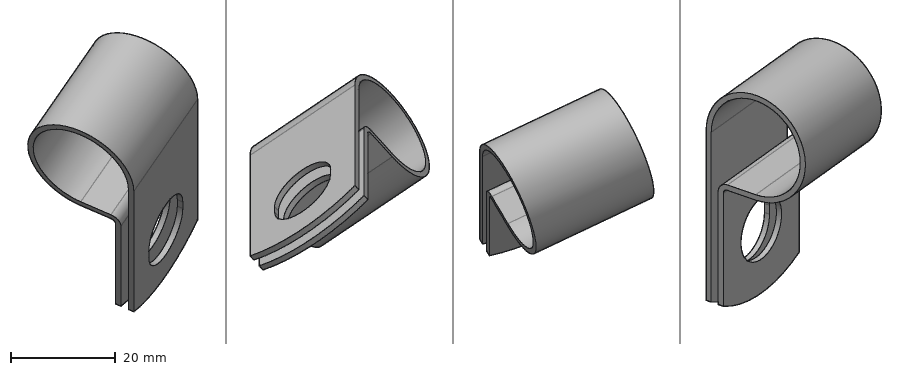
import cadquery as cq
import math

height = 52.0
width = 25.4
loop_diameter = 23.1
thickness = 1.2
leg_gap = 1.6
bend_inner_radius = 1.0
hole_diameter = 13.5
hole_height = 14.25
slot_length = 15.5
end_arc_rise = 3.05

outer_radius = loop_diameter / 2
inner_radius = outer_radius - thickness
bottom = outer_radius - height
bend_outer_radius = bend_inner_radius + thickness
short_leg_outer = inner_radius - leg_gap
short_leg_inner = short_leg_outer - thickness
gap_middle = short_leg_outer + leg_gap / 2
bend_x = short_leg_outer - bend_outer_radius
bend_z = -inner_radius - bend_outer_radius
half_width = width / 2
diagonal = math.sqrt(0.5)


def make_strap():
    """Bent strip: long leg, three-quarter loop, then a bend into the short leg."""
    profile = (
        cq.Workplane("XZ")
        .moveTo(outer_radius, bottom)
        .lineTo(outer_radius, 0)
        .threePointArc((-outer_radius * diagonal, outer_radius * diagonal), (0, -outer_radius))
        .lineTo(bend_x, -outer_radius)
        .threePointArc(
            (bend_x + bend_inner_radius * diagonal, bend_z + bend_inner_radius * diagonal),
            (short_leg_inner, bend_z),
        )
        .lineTo(short_leg_inner, bottom)
        .lineTo(short_leg_outer, bottom)
        .lineTo(short_leg_outer, bend_z)
        .threePointArc(
            (bend_x + bend_outer_radius * diagonal, bend_z + bend_outer_radius * diagonal),
            (bend_x, -inner_radius),
        )
        .lineTo(0, -inner_radius)
        .threePointArc((-inner_radius * diagonal, inner_radius * diagonal), (inner_radius, 0))
        .lineTo(inner_radius, bottom)
        .close()
    )
    return profile.extrude(half_width, both=True)


def make_side_outline():
    """Rectangle with an arched lower end, extruded across the whole strap."""
    corner_z = bottom + end_arc_rise
    return (
        cq.Workplane("YZ")
        .moveTo(-half_width, outer_radius)
        .lineTo(-half_width, corner_z)
        .threePointArc((0, bottom), (half_width, corner_z))
        .lineTo(half_width, outer_radius)
        .close()
        .extrude(outer_radius, both=True)
    )


def make_bolt_hole():
    """Round hole through the short leg."""
    return (
        cq.Workplane("YZ", origin=(0, 0, bottom + hole_height))
        .circle(hole_diameter / 2)
        .extrude(gap_middle)
    )


def make_bolt_slot():
    """Slot through the long leg, elongated along Z around the hole centre."""
    return (
        cq.Workplane("YZ", origin=(gap_middle, 0, bottom + hole_height))
        .slot2D(slot_length, hole_diameter, 90)
        .extrude(outer_radius - gap_middle)
    )


strap = make_strap().intersect(make_side_outline())
result = strap.cut(make_bolt_hole()).cut(make_bolt_slot())